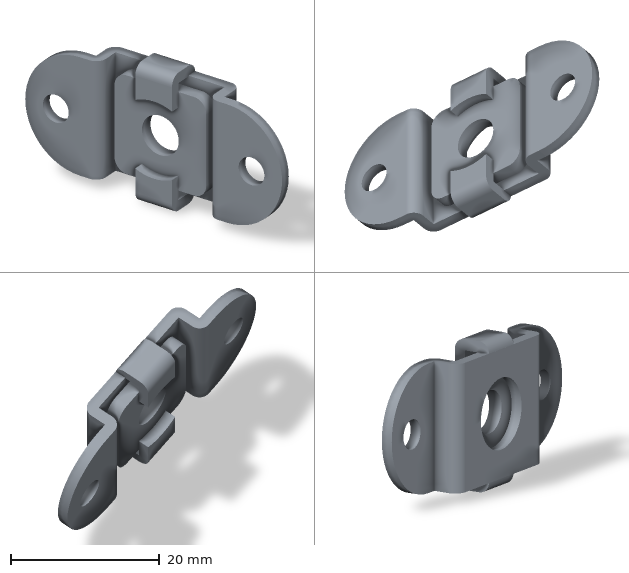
import cadquery as cq

LENGTH = 42.0
HEIGHT = 18.0
DEPTH = 5.5
SHEET = 1.6
BEND_RADIUS = SHEET
CHANNEL_WIDTH = 21.0
FIXING_SPACING = 32.0
FIXING_DIAMETER = 4.2
BACK_HOLE_DIAMETER = 10.0

HOOK_WIDTH = 6.0
HOOK_SPAN = 21.0
HOOK_TIP_EDGE = 5.2
HOOK_TIP_MIDDLE = 5.9

PLATE_SIZE = 15.0
PLATE_THICKNESS = 2.0
PLATE_CORNER_RADIUS = 2.0
PLATE_HOLE_DIAMETER = 6.0


def cylinder_along_y(x, diameter):
    """Cutter running through the whole depth, with the front face at Y = 0."""
    return cq.Workplane("XZ", origin=(x, DEPTH, 0)).circle(diameter / 2).extrude(DEPTH)


def make_channel():
    """Hat-shaped strip, rounded on the outside of each bend."""
    half_length = LENGTH / 2
    outer = CHANNEL_WIDTH / 2
    inner = outer - SHEET
    profile = [
        (-half_length, 0),
        (-inner, 0),
        (-inner, DEPTH - SHEET),
        (inner, DEPTH - SHEET),
        (inner, 0),
        (half_length, 0),
        (half_length, SHEET),
        (outer, SHEET),
        (outer, DEPTH),
        (-outer, DEPTH),
        (-outer, SHEET),
        (-half_length, SHEET),
    ]
    strip = cq.Workplane("XY").polyline(profile).close().extrude(HEIGHT / 2, both=True)
    bends = [(side * x, y) for side in (-1, 1) for x, y in ((inner, 0), (outer, DEPTH))]
    for x, y in bends:
        strip = strip.edges(cq.selectors.NearestToPointSelector((x, y, 0))).fillet(BEND_RADIUS)
    outline = cq.Workplane("XZ", origin=(0, DEPTH, 0)).slot2D(LENGTH, HEIGHT).extrude(DEPTH)
    return strip.intersect(outline)


def make_upper_hook():
    """Hook at the top edge, ending in a concave tip."""
    top = HOOK_SPAN / 2
    half_width = HOOK_WIDTH / 2
    blank = (
        cq.Workplane("XZ", origin=(0, DEPTH, 0))
        .moveTo(-half_width, HOOK_TIP_EDGE)
        .threePointArc((0, HOOK_TIP_MIDDLE), (half_width, HOOK_TIP_EDGE))
        .lineTo(half_width, top)
        .lineTo(-half_width, top)
        .close()
        .extrude(DEPTH)
        .edges("|X and >Z")
        .fillet(BEND_RADIUS)
    )
    inside = cq.Workplane("XY", origin=(0, SHEET, 0)).box(
        HOOK_WIDTH, DEPTH - 2 * SHEET, top - SHEET, centered=(True, False, False)
    )
    return blank.cut(inside)


def make_bracket():
    upper_hook = make_upper_hook()
    body = make_channel().union(upper_hook).union(upper_hook.mirror("XY"))
    body = body.cut(cylinder_along_y(0, BACK_HOLE_DIAMETER))
    for side in (-1, 1):
        body = body.cut(cylinder_along_y(side * FIXING_SPACING / 2, FIXING_DIAMETER))
    return body


def make_plate():
    plate = (
        cq.Workplane("XY", origin=(0, SHEET, 0))
        .box(PLATE_SIZE, PLATE_THICKNESS, PLATE_SIZE, centered=(True, False, True))
        .edges("|Y")
        .fillet(PLATE_CORNER_RADIUS)
    )
    return plate.cut(cylinder_along_y(0, PLATE_HOLE_DIAMETER))


bracket = make_bracket()
plate = make_plate()
result = cq.Compound.makeCompound([bracket.val(), plate.val()])